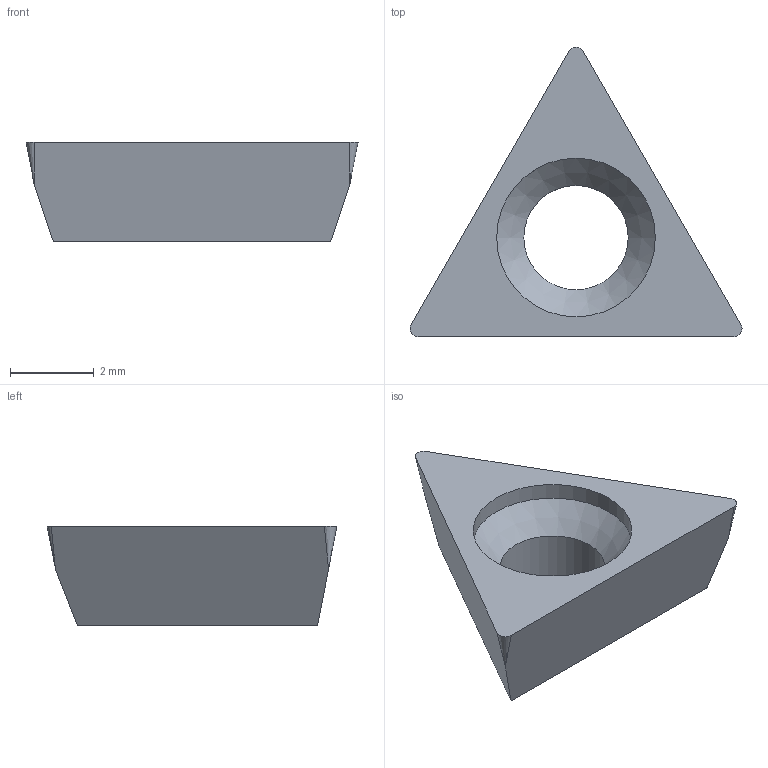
import cadquery as cq
import math

inscribed_diameter = 4.76
thickness = 2.38
clearance_angle = 11.0
nose_radius = 0.2
bore_diameter = 2.5
seat_diameter = 3.8
seat_straight_depth = 0.4
countersink_half_angle = 45.0

corner_spacing = 120.0
corner_directions = (90.0, 210.0, 330.0)
flank_directions = (30.0, 150.0, 270.0)

clearance_slope = math.tan(math.radians(clearance_angle))
nose_depth = nose_radius / clearance_slope
apex_height = thickness - nose_depth

core_side_distance = inscribed_diameter / 2 - nose_radius
core_corner_distance = 2 * core_side_distance
core_side_length = 2 * math.sqrt(3) * core_side_distance
bottom_corner_distance = core_corner_distance - 2 * apex_height * clearance_slope


def triangle(corner_distance):
    """Corner points of the centered triangle with the given corner distance."""
    return [
        (
            corner_distance * math.cos(math.radians(direction)),
            corner_distance * math.sin(math.radians(direction)),
        )
        for direction in corner_directions
    ]


def lower_body():
    """Sharp-edged frustum below the nose cones."""
    return (
        cq.Workplane("XY")
        .polyline(triangle(bottom_corner_distance)).close()
        .workplane(offset=apex_height)
        .polyline(triangle(core_corner_distance)).close()
        .loft(ruled=True)
    )


def upper_core():
    """Straight triangular prism between the nose cone axes."""
    return (
        cq.Workplane("XY", origin=(0, 0, apex_height))
        .polyline(triangle(core_corner_distance)).close()
        .extrude(nose_depth)
    )


def flank_wedge(direction):
    """Wedge on one side of the core that carries the flank up to the top face."""
    return (
        cq.Workplane("XZ")
        .polyline([
            (core_side_distance, apex_height),
            (core_side_distance + nose_radius, thickness),
            (core_side_distance, thickness),
        ])
        .close()
        .extrude(core_side_length / 2, both=True)
        .rotate((0, 0, 0), (0, 0, 1), direction)
    )


def nose_cone(direction):
    """Cone sector that rounds one corner between the two neighboring flanks."""
    cone = cq.Solid.makeCone(
        0,
        nose_radius,
        nose_depth,
        pnt=cq.Vector(0, 0, apex_height),
        angleDegrees=corner_spacing,
    )
    return (
        cq.Workplane(obj=cone)
        .rotate((0, 0, 0), (0, 0, 1), -corner_spacing / 2)
        .translate((core_corner_distance, 0, 0))
        .rotate((0, 0, 0), (0, 0, 1), direction)
    )


def screw_hole():
    """Through bore that widens in a countersink to a short straight seat at the top."""
    bore_radius = bore_diameter / 2
    seat_radius = seat_diameter / 2
    countersink_depth = (seat_radius - bore_radius) / math.tan(math.radians(countersink_half_angle))
    countersink_top = thickness - seat_straight_depth
    countersink_bottom = countersink_top - countersink_depth
    return (
        cq.Workplane("XZ")
        .polyline([
            (0, 0),
            (bore_radius, 0),
            (bore_radius, countersink_bottom),
            (seat_radius, countersink_top),
            (seat_radius, thickness),
            (0, thickness),
        ])
        .close()
        .revolve(360, (0, 0, 0), (0, 1, 0))
    )


body = lower_body().union(upper_core())
for flank_direction in flank_directions:
    body = body.union(flank_wedge(flank_direction))
for corner_direction in corner_directions:
    body = body.union(nose_cone(corner_direction))

result = body.clean().cut(screw_hole())